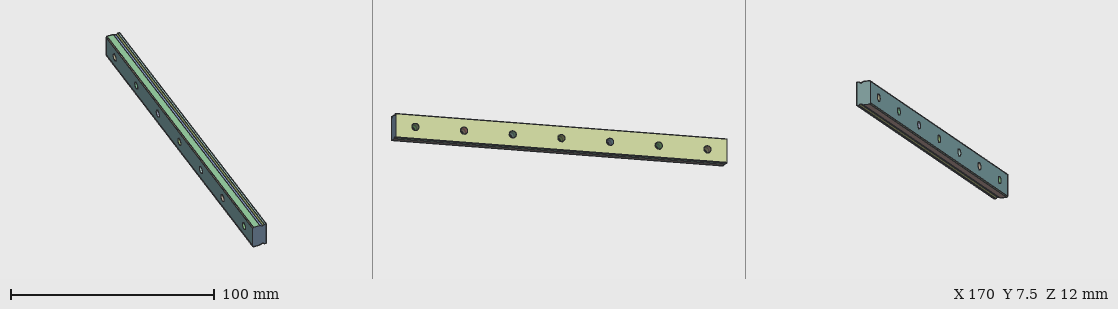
import cadquery as cq

length = 170.0
depth = 7.5
height = 12.0
front_chamfer = 0.5
back_chamfer = 0.2

groove_back_land = 1.2
back_flank_width = 0.8
front_flank_width = 1.5
groove_depth = 0.7
flank_hollow = 0.08

hole_count = 7
hole_pitch = 25.0
hole_diameter = 3.5

half_depth = depth / 2
half_height = height / 2
groove_back = half_depth - groove_back_land
crease = groove_back - back_flank_width
groove_front = crease - front_flank_width
groove_floor = half_height - groove_depth


def half_profile(side):
    """Half of the bar section in the YZ plane: side is 1 for the top, -1 for the bottom."""
    flank_middle_height = half_height - groove_depth / 2 - flank_hollow
    return (
        cq.Workplane("YZ")
        .moveTo(half_depth, 0)
        .lineTo(half_depth, side * (half_height - back_chamfer))
        .lineTo(half_depth - back_chamfer, side * half_height)
        .lineTo(groove_back, side * half_height)
        .threePointArc(
            ((groove_back + crease) / 2, side * flank_middle_height),
            (crease, side * groove_floor),
        )
        .threePointArc(
            ((crease + groove_front) / 2, side * flank_middle_height),
            (groove_front, side * half_height),
        )
        .lineTo(-half_depth + front_chamfer, side * half_height)
        .lineTo(-half_depth, side * (half_height - front_chamfer))
        .lineTo(-half_depth, 0)
        .close()
    )


def mounting_holes():
    """Cylinders through the full depth of the bar."""
    return (
        cq.Workplane("XZ")
        .rarray(hole_pitch, 1.7, hole_count, 1)
        .circle(hole_diameter / 2)
        .extrude(half_depth, both=True)
    )


top_half = half_profile(1).extrude(length / 2, both=True)
bottom_half = half_profile(-1).extrude(length / 2, both=True)
rail = top_half.union(bottom_half).clean()
result = rail.cut(mounting_holes())